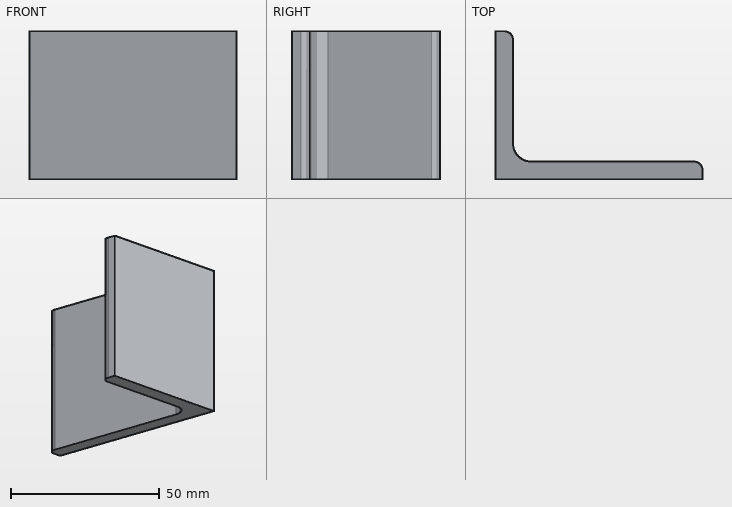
import cadquery as cq

long_leg = 70.0
short_leg = 50.0
length = 50.0
thickness = 6.0
root_radius = thickness
toe_radius = thickness / 2

profile = (
    cq.Workplane("XY")
    .polyline([
        (0, 0),
        (long_leg, 0),
        (long_leg, thickness),
        (thickness, thickness),
        (thickness, short_leg),
        (0, short_leg),
    ])
    .close()
)
angle = profile.extrude(length)


def round_upright_edge(body, x, y, radius):
    """Fillet the Z-parallel edge that passes through (x, y)."""
    edge = cq.selectors.NearestToPointSelector((x, y, length / 2))
    return body.edges("|Z").edges(edge).fillet(radius)


angle = round_upright_edge(angle, thickness, thickness, root_radius)

for toe_x, toe_y in [(long_leg, thickness), (thickness, short_leg)]:
    angle = round_upright_edge(angle, toe_x, toe_y, toe_radius)

result = angle